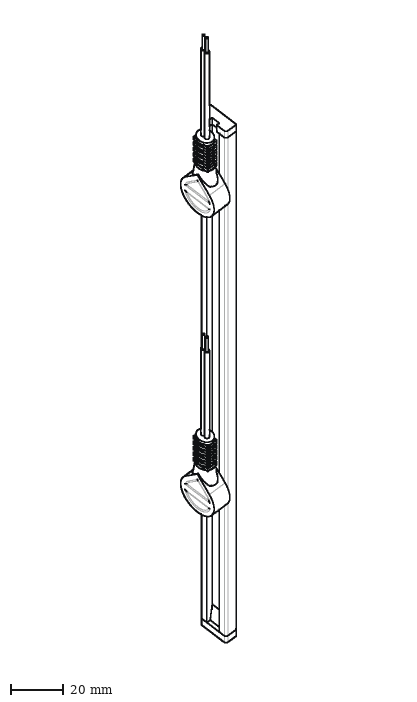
import cadquery as cq
import math

TOTAL_HEIGHT = 353.5
TOTAL_DEPTH = 14.0

RAIL_WIDTH = 14.0
RAIL_DEPTH = 5.5
RAIL_ROUNDING = 1.0
TRACK_HEIGHT = 300.0
CAP_HEIGHT = 4.0
GROOVE_WIDTH = 6.7
GROOVE_DEPTH = 3.0
NOTCH_WIDTH = 4.0
NOTCH_DEPTH = 1.5

RAMP_HEIGHT = 8.5
RAMP_RISE = 1.0

HEAD_RADIUS = 9.2
HEAD_DEPTH = TOTAL_DEPTH - RAIL_DEPTH
SENSOR_PITCH = 175.5
POCKET_RADIUS = 7.0
POCKET_DEPTH = 0.2
WALL_RUN = 0.7
BAR_WIDTH = 3.2

NECK_TOP_WIDTH = 8.5
NECK_TOP_DEPTH = 7.0
NECK_BOTTOM_WIDTH = 11.3
NECK_BOTTOM_DEPTH = 8.0
NECK_HEIGHT = 8.0
NECK_TOP = 16.3
SLEEVE_WIDTH = 7.8
WEB_DEPTH = 5.0
RIB_DEPTH = 6.5
RIB_HEIGHT = 1.6
RIB_PITCH = 3.2
RIB_COUNT = 5
SLEEVE_HEIGHT = RIB_COUNT * RIB_PITCH
SLEEVE_TOP = NECK_TOP + SLEEVE_HEIGHT

STRAND_RADIUS = 1.0
STRAND_OFFSET = 0.95
WIRE_RADIUS = 0.53
WIRE_LENGTH = 8.0
CABLE_LENGTH = 58.5
CABLE_Y = -(RAIL_DEPTH + TOTAL_DEPTH) / 2

UPPER_SENSOR_Z = TOTAL_HEIGHT - CABLE_LENGTH - SLEEVE_TOP
SENSOR_HEIGHTS = [UPPER_SENSOR_Z - SENSOR_PITCH, UPPER_SENSOR_Z]


def block(width, depth, height, y, bottom):
    """Upright box centred on X = 0 and on the given Y."""
    return (
        cq.Workplane("XY", origin=(0, y, bottom))
        .box(width, depth, height, centered=(True, True, False))
    )


def track_bar(bottom, height):
    """Length of the rail's outer section, with rounded front edges."""
    bar = block(RAIL_WIDTH, RAIL_DEPTH, height, -RAIL_DEPTH / 2, bottom)
    return bar.edges("|Z and <Y").fillet(RAIL_ROUNDING)


def make_rail():
    height = TRACK_HEIGHT - 2 * CAP_HEIGHT
    groove_y = -RAIL_DEPTH + GROOVE_DEPTH / 2
    groove = block(GROOVE_WIDTH, GROOVE_DEPTH, height, groove_y, CAP_HEIGHT)
    return track_bar(CAP_HEIGHT, height).cut(groove)


def make_lower_cap():
    return track_bar(0, CAP_HEIGHT)


def make_upper_cap():
    """End cap with a small notch in the middle of its front."""
    bottom = TRACK_HEIGHT - CAP_HEIGHT
    notch = block(NOTCH_WIDTH, NOTCH_DEPTH, CAP_HEIGHT, -RAIL_DEPTH + NOTCH_DEPTH / 2, bottom)
    return track_bar(bottom, CAP_HEIGHT).cut(notch)


def make_ramp():
    """Wedge on the groove floor that rises toward the lower cap."""
    floor = -RAIL_DEPTH + GROOVE_DEPTH
    return (
        cq.Workplane("YZ", origin=(-GROOVE_WIDTH / 2, 0, 0))
        .moveTo(floor, CAP_HEIGHT)
        .lineTo(floor - RAMP_RISE, CAP_HEIGHT)
        .lineTo(floor, CAP_HEIGHT + RAMP_HEIGHT)
        .close()
        .extrude(GROOVE_WIDTH)
    )


def teardrop(radius, depth, taper=0):
    """Disc with a right-angled point on top, running back from the sensor's front face."""
    tangent = radius / math.sqrt(2)
    return (
        cq.Workplane("XZ", origin=(0, -TOTAL_DEPTH, 0))
        .moveTo(-tangent, tangent)
        .threePointArc((0, -radius), (tangent, tangent))
        .lineTo(0, radius * math.sqrt(2))
        .close()
        .extrude(-depth, taper=taper)
    )


def make_pocket():
    """Shallow pocket with sloped walls, crossed by a bar that stays at the front face."""
    taper = math.degrees(math.atan2(WALL_RUN, POCKET_DEPTH))
    floor = -TOTAL_DEPTH + POCKET_DEPTH
    crest = BAR_WIDTH / 2
    bar = (
        cq.Workplane("YZ", origin=(-HEAD_RADIUS, 0, 0))
        .polyline([
            (floor, -crest - WALL_RUN),
            (-TOTAL_DEPTH, -crest),
            (-TOTAL_DEPTH, crest),
            (floor, crest + WALL_RUN),
        ])
        .close()
        .extrude(2 * HEAD_RADIUS)
    )
    return teardrop(POCKET_RADIUS, POCKET_DEPTH, taper).cut(bar)


def make_neck():
    """Flat oval neck that widens down into the head."""
    return (
        cq.Workplane("XY", origin=(0, CABLE_Y, NECK_TOP - NECK_HEIGHT))
        .ellipse(NECK_BOTTOM_WIDTH / 2, NECK_BOTTOM_DEPTH / 2)
        .workplane(offset=NECK_HEIGHT)
        .ellipse(NECK_TOP_WIDTH / 2, NECK_TOP_DEPTH / 2)
        .loft()
    )


def make_sleeve():
    """Stack of flat webs and oval ribs that ends in a rib."""
    web_height = RIB_PITCH - RIB_HEIGHT
    sleeve = cq.Workplane("XY")
    for i in range(RIB_COUNT):
        web_bottom = NECK_TOP + i * RIB_PITCH
        web = block(SLEEVE_WIDTH, WEB_DEPTH, web_height, CABLE_Y, web_bottom)
        rib = (
            cq.Workplane("XY", origin=(0, CABLE_Y, web_bottom + web_height))
            .ellipse(SLEEVE_WIDTH / 2, RIB_DEPTH / 2)
            .extrude(RIB_HEIGHT)
        )
        sleeve = sleeve.union(web).union(rib)
    return sleeve


def make_housing(z):
    head = teardrop(HEAD_RADIUS, HEAD_DEPTH)
    housing = head.union(make_neck()).union(make_sleeve()).cut(make_pocket())
    return housing.translate((0, 0, z))


def make_cable(z):
    """Two strands joined side by side, each with a thinner wire running out of its end."""
    cable = cq.Workplane("XY")
    for x in (-STRAND_OFFSET, STRAND_OFFSET):
        start = cq.Workplane("XY", origin=(x, CABLE_Y, z + SLEEVE_TOP))
        cable = cable.union(start.circle(STRAND_RADIUS).extrude(CABLE_LENGTH - WIRE_LENGTH))
        cable = cable.union(start.circle(WIRE_RADIUS).extrude(CABLE_LENGTH))
    return cable


rail = make_rail()
lower_cap = make_lower_cap()
upper_cap = make_upper_cap()
ramp = make_ramp()
housings = [make_housing(z) for z in SENSOR_HEIGHTS]
cables = [make_cable(z) for z in SENSOR_HEIGHTS]

bodies = [rail, lower_cap, upper_cap, ramp, *housings, *cables]
result = cq.Compound.makeCompound([body.val() for body in bodies])